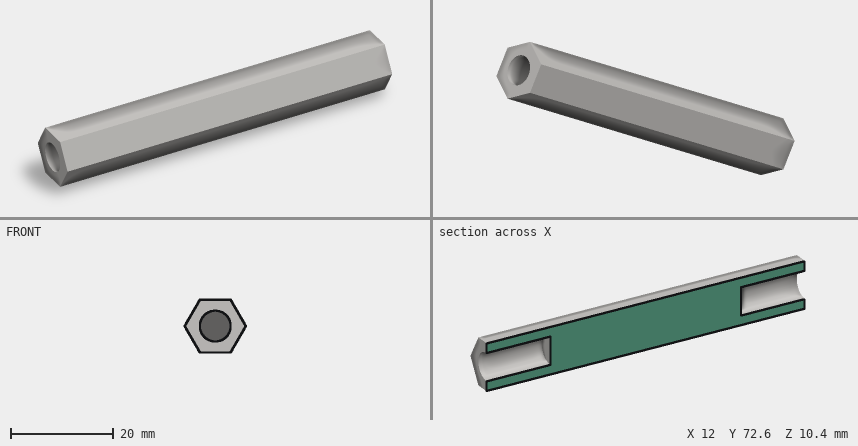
import cadquery as cq
import math

length = 72.6
across_flats = 10.4
across_corners = across_flats / math.cos(math.pi / 6)

hole_diameter = 6.0
hole_depth = 14.5


def hex_bar():
    """Hexagonal bar with flats facing up and down and corners along X."""
    return cq.Workplane("XZ").polygon(6, across_corners).extrude(length / 2, both=True)


def drill_end(bar, face):
    """Drill the central blind hole into one end face."""
    return bar.faces(face).workplane(centerOption="CenterOfMass").hole(hole_diameter, hole_depth)


result = hex_bar()
for end_face in ("<Y", ">Y"):
    result = drill_end(result, end_face)